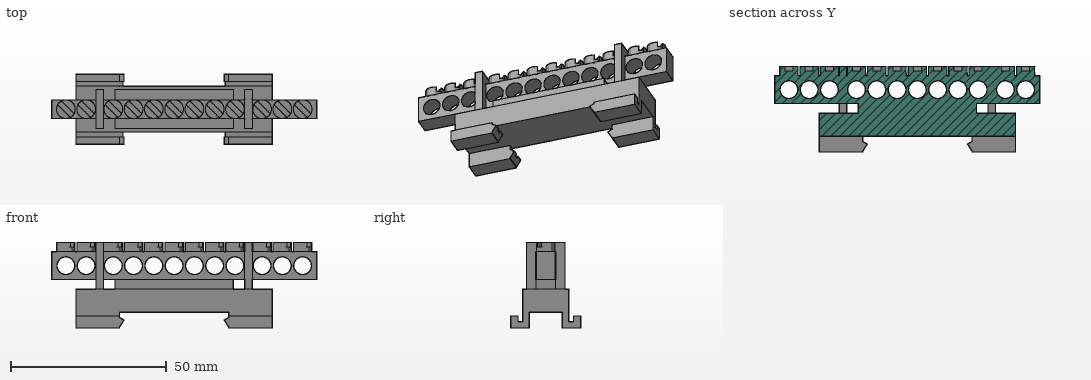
import cadquery as cq


base_length = 63.0
base_width = 14.75
base_top = 12.5
channel_width = 10.5
channel_height = 5.0

foot_length = 14.0
feet_width = 22.5
lip_thickness = 2.4
lip_top = 3.9
groove_floor = 2.1
tooth_reach = 1.5
tooth_bottom = 0.3
tooth_tip_height = 2.6
tooth_top = 3.4

bar_length = 85.0
bar_width = 6.0
bar_height = 9.0
bar_bottom = 15.5
bar_top = bar_bottom + bar_height

ledge_length = 38.0
ledge_width = 12.5

hole_diameter = 5.6
terminal_pitch = 6.5
inner_count = 7
left_count = 2
right_count = 3
bracket_gap = 8.7
end_margin = 4.55

screw_diameter = 6.0
screw_height = 3.0
slot_width = 1.7
slot_depth = 1.5
slot_angle = -45.0

bracket_thickness = 2.5
bracket_width = 12.5
bracket_opening = 6.4
bracket_top = bar_top + screw_height

inner_half_span = (inner_count - 1) * terminal_pitch / 2
bracket_offset = inner_half_span + bracket_gap / 2
left_group_end = -inner_half_span - bracket_gap
right_group_start = inner_half_span + bracket_gap
bar_left = left_group_end - (left_count - 1) * terminal_pitch - end_margin

terminal_positions = (
    [left_group_end - i * terminal_pitch for i in range(left_count)]
    + [-inner_half_span + i * terminal_pitch for i in range(inner_count)]
    + [right_group_start + i * terminal_pitch for i in range(right_count)]
)


def block(length, width, bottom, top, x=0.0, y=0.0):
    """Box centred on x and y that spans the heights bottom to top."""
    return (
        cq.Workplane("XY", origin=(x, y, bottom))
        .box(length, width, top - bottom, centered=(True, True, False))
    )


def make_left_feet():
    """Pair of grooved feet at the -X end, with teeth that point to the middle."""
    outer_x = -base_length / 2
    inner_x = outer_x + foot_length
    tip_x = inner_x + tooth_reach
    side = (
        cq.Workplane("XZ", origin=(0, feet_width / 2, 0))
        .moveTo(outer_x, 0)
        .lineTo(inner_x, 0)
        .lineTo(inner_x, tooth_bottom)
        .lineTo(tip_x, tooth_tip_height)
        .lineTo(inner_x, tooth_top)
        .lineTo(inner_x, channel_height)
        .lineTo(outer_x, channel_height)
        .close()
        .extrude(feet_width)
    )
    cut_length = 2 * base_length
    feet = side.cut(block(cut_length, channel_width, 0, channel_height))

    groove_width = (feet_width - base_width) / 2 - lip_thickness
    groove_y = (base_width + groove_width) / 2
    lip_y = (feet_width - lip_thickness) / 2
    for direction in (-1, 1):
        feet = feet.cut(
            block(cut_length, groove_width, groove_floor, channel_height, y=direction * groove_y)
        )
        feet = feet.cut(
            block(cut_length, lip_thickness, lip_top, channel_height, y=direction * lip_y)
        )
    return feet


def make_carrier():
    """Carrier body with its feet and the ledge under the bar."""
    body = block(base_length, base_width, channel_height, base_top)
    ledge = block(ledge_length, ledge_width, base_top, bar_bottom)
    left_feet = make_left_feet()
    right_feet = left_feet.mirror("YZ")
    return body.union(ledge).union(left_feet).union(right_feet)


def make_bracket(x):
    """Upright frame around the bar at position x."""
    frame = block(bracket_thickness, bracket_width, base_top, bracket_top, x=x)
    return frame.cut(block(bracket_thickness, bracket_opening, base_top, bar_top, x=x))


def make_bar():
    """Terminal bar with a wire hole through it at every terminal."""
    bar = block(bar_length, bar_width, bar_bottom, bar_top, x=bar_left + bar_length / 2)
    holes = (
        cq.Workplane("XZ", origin=(0, bar_width / 2, (bar_bottom + bar_top) / 2))
        .pushPoints([(x, 0) for x in terminal_positions])
        .circle(hole_diameter / 2)
        .extrude(bar_width)
    )
    return bar.cut(holes)


def make_screw(x):
    """Screw head on the bar with a diagonal driver slot."""
    head = cq.Workplane("XY", origin=(x, 0, bar_top)).circle(screw_diameter / 2).extrude(screw_height)
    slot = (
        block(2 * screw_diameter, slot_width, bracket_top - slot_depth, bracket_top)
        .rotate((0, 0, 0), (0, 0, 1), slot_angle)
        .translate((x, 0, 0))
    )
    return head.cut(slot)


result = make_carrier().union(make_bar())
for terminal_x in terminal_positions:
    result = result.union(make_screw(terminal_x))
for bracket_x in (-bracket_offset, bracket_offset):
    result = result.union(make_bracket(bracket_x))